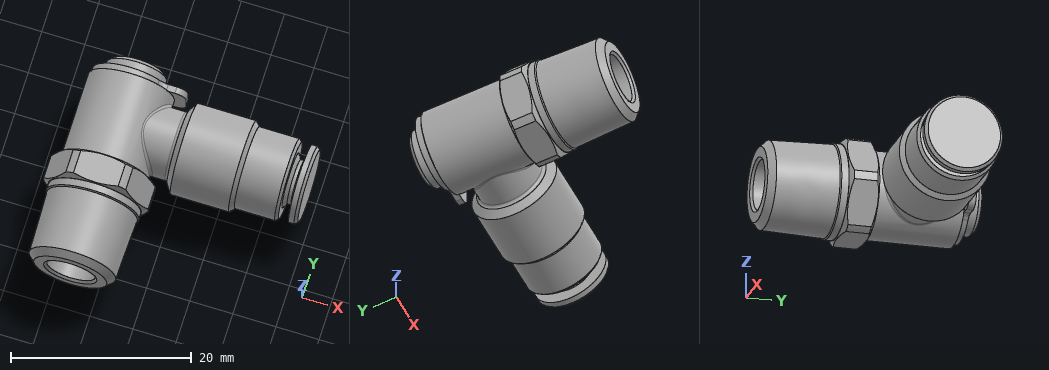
import cadquery as cq
import math


stem_end_y = 7.5
thread_end_y = -17.5
knob_radius = 3.5
knob_chamfer = 0.5
body_radius = 5.0
body_top_y = 5.05
body_bottom_y = -4.92

hex_across_flats = 11.0
hex_corner_radius = 6.08
hex_bottom_y = -8.45
hex_chamfer_length = 0.42
hex_chamfer_angle = 30

shoulder_radius = 5.4
shoulder_length = 1.0
shoulder_chamfer = 0.15
thread_end_chamfer = 0.8
taper_per_side = 1 / 32

bore_radius = 2.8
bore_chamfer = 0.28
bore_depth = 12.57
pilot_radius = 1.02
pilot_length = 0.28
drill_half_angle = 59

clip_bottom_y = 5.1
clip_thickness = 0.8
clip_radius = 4.41
clip_centre_x = -0.35
clip_tab_end_x = 6.35
clip_tab_width = 4.87
clip_tab_corner = 1.3
clip_blend = 1.42

neck_radius = 4.0
neck_end_x = 7.08
neck_blend = 0.35
elbow_blend = 0.3
sleeve_start_radius = neck_radius + neck_blend
sleeve_radius = 5.3
sleeve_start_x = 7.75
sleeve_end_x = 14.52
collar_radius = 4.75
collar_start_x = 15.03
collar_end_x = 20.05
collar_chamfer = 0.35

bush_root_radius = 3.2
bush_neck_radius = 2.58
bush_neck_start_x = 20.45
bush_neck_end_x = 20.89
bush_flare_radius = 2.77
flange_start_x = 21.2
flange_radius = 4.5
flange_chamfer = 0.35
overall_length = 28.3
branch_end_x = overall_length - hex_corner_radius


def revolve_about_y(radius_y_points):
    """Solid of revolution about Y from (radius, y) points."""
    return cq.Workplane("XY").polyline(radius_y_points).close().revolve(360, (0, 0, 0), (0, 1, 0))


def cylinder_along_y(radius, start_y, end_y):
    return revolve_about_y([(0, start_y), (radius, start_y), (radius, end_y), (0, end_y)])


def sketch_across_y(start_y):
    """Sketch plane with local axes +X and +Z; its normal is -Y, so a negative extrusion runs toward +Y."""
    return cq.Workplane("XZ", origin=(0, start_y, 0))


def make_branch():
    """Neck, sleeve, collar and release bush as one turned shape."""
    blend_start_x = neck_end_x - neck_blend
    blend_middle_x = blend_start_x + neck_blend * math.sin(math.pi / 4)
    blend_middle_radius = neck_radius + neck_blend * (1 - math.cos(math.pi / 4))
    return (
        cq.Workplane("XY")
        .moveTo(0, 0)
        .lineTo(0, neck_radius)
        .lineTo(blend_start_x, neck_radius)
        .threePointArc((blend_middle_x, blend_middle_radius), (neck_end_x, sleeve_start_radius))
        .lineTo(sleeve_start_x, sleeve_radius)
        .lineTo(sleeve_end_x, sleeve_radius)
        .lineTo(collar_start_x, collar_radius)
        .lineTo(collar_end_x - collar_chamfer, collar_radius)
        .lineTo(collar_end_x, collar_radius - collar_chamfer)
        .lineTo(collar_end_x, bush_root_radius)
        .lineTo(bush_neck_start_x, bush_neck_radius)
        .lineTo(bush_neck_end_x, bush_neck_radius)
        .lineTo(flange_start_x, bush_flare_radius)
        .lineTo(flange_start_x, flange_radius)
        .lineTo(branch_end_x - flange_chamfer, flange_radius)
        .lineTo(branch_end_x, flange_radius - flange_chamfer)
        .lineTo(branch_end_x, 0)
        .close()
        .revolve(360, (0, 0, 0), (1, 0, 0))
    )


def make_elbow():
    """Body cylinder joined to the branch with a rounded inner corner."""
    body = cylinder_along_y(body_radius, body_bottom_y, body_top_y)
    elbow = body.union(make_branch())
    corner_edges = elbow.edges("%BSPLINE")
    return corner_edges.fillet(elbow_blend)


def make_stem_knob():
    return revolve_about_y([
        (0, 0),
        (knob_radius, 0),
        (knob_radius, stem_end_y - knob_chamfer),
        (knob_radius - knob_chamfer, stem_end_y),
        (0, stem_end_y),
    ])


def make_hexagon():
    """Hexagon with two flats facing +Z and -Z, rounded corners and both ends chamfered."""
    chamfer_depth = hex_chamfer_length / math.tan(math.radians(hex_chamfer_angle))
    face_radius = hex_corner_radius - chamfer_depth
    turned_blank = revolve_about_y([
        (0, hex_bottom_y),
        (face_radius, hex_bottom_y),
        (hex_corner_radius, hex_bottom_y + hex_chamfer_length),
        (hex_corner_radius, body_bottom_y - hex_chamfer_length),
        (face_radius, body_bottom_y),
        (0, body_bottom_y),
    ])
    hex_across_corners = hex_across_flats / math.cos(math.pi / 6)
    hex_length = body_bottom_y - hex_bottom_y
    prism = sketch_across_y(hex_bottom_y).polygon(6, hex_across_corners).extrude(-hex_length)
    return prism.intersect(turned_blank)


def make_spigot():
    """Shoulder and taper thread below the hexagon."""
    shoulder_end_y = hex_bottom_y - shoulder_length
    thread_start_radius = shoulder_radius - shoulder_chamfer
    thread_chamfer_y = thread_end_y + thread_end_chamfer
    thread_end_radius = thread_start_radius - taper_per_side * (shoulder_end_y - thread_chamfer_y)
    return revolve_about_y([
        (0, hex_bottom_y),
        (shoulder_radius, hex_bottom_y),
        (shoulder_radius, shoulder_end_y + shoulder_chamfer),
        (thread_start_radius, shoulder_end_y),
        (thread_end_radius, thread_chamfer_y),
        (thread_end_radius - thread_end_chamfer, thread_end_y),
        (0, thread_end_y),
    ])


def make_bore():
    """Blind bore with a conical bottom and a short pilot hole that ends in a cone."""
    cone_slope = 1 / math.tan(math.radians(drill_half_angle))
    cone_start_y = thread_end_y + bore_depth
    pilot_start_y = cone_start_y + (bore_radius - pilot_radius) * cone_slope
    pilot_end_y = pilot_start_y + pilot_length
    return revolve_about_y([
        (0, thread_end_y),
        (bore_radius + bore_chamfer, thread_end_y),
        (bore_radius, thread_end_y + bore_chamfer),
        (bore_radius, cone_start_y),
        (pilot_radius, pilot_start_y),
        (pilot_radius, pilot_end_y),
        (0, pilot_end_y + pilot_radius * cone_slope),
    ])


def make_clip():
    """Round clip, eccentric to the body, with a rounded tab toward the branch."""
    ring = (
        sketch_across_y(clip_bottom_y)
        .center(clip_centre_x, 0)
        .circle(clip_radius)
        .extrude(-clip_thickness)
    )
    tab = (
        sketch_across_y(clip_bottom_y)
        .center(clip_tab_end_x / 2, 0)
        .rect(clip_tab_end_x, clip_tab_width)
        .extrude(-clip_thickness)
        .edges("|Y and >X")
        .fillet(clip_tab_corner)
    )
    half_width = clip_tab_width / 2
    root_x = clip_centre_x + math.sqrt(clip_radius**2 - half_width**2)
    middle_y = clip_bottom_y + clip_thickness / 2
    clip = ring.union(tab)
    for side in (1, -1):
        root = cq.selectors.NearestToPointSelector((root_x, middle_y, side * half_width))
        clip = clip.edges(root).fillet(clip_blend)
    return clip


result = (
    make_elbow()
    .union(make_stem_knob())
    .union(make_clip())
    .union(make_hexagon())
    .union(make_spigot())
    .cut(make_bore())
)